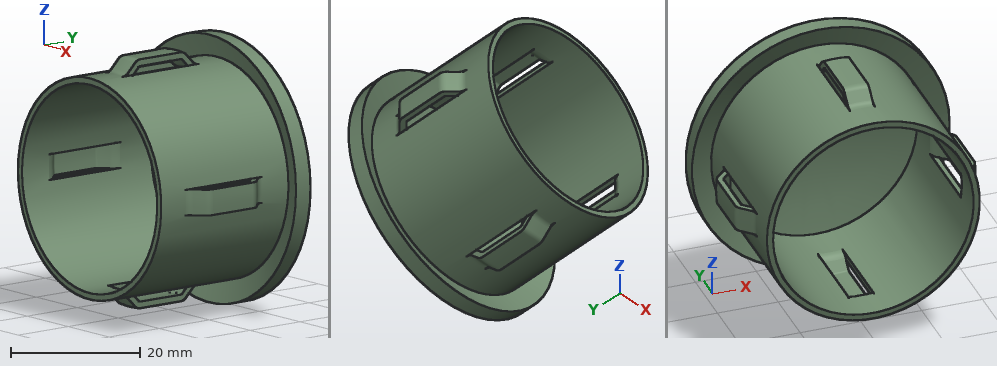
import cadquery as cq
import math


cap_radius = 21.2
rim_height = 2.93
dome_rise = 4.6

tube_radius = 17.5
bore_radius = 16.5
tube_length = 23.9
seam_turn = 45

clip_count = 4
clip_width = 4.05
clip_length = 15.2
clip_thickness = 1.05
clip_center_y = -11.4
clip_crest_radius = 19.8
bend_radius = 1.55
clip_floor_radius = bore_radius / 2
hat_sweep = 60
ramp_angle = math.radians(45)


def sphere_radius(chord_radius, rise):
    return (chord_radius**2 + rise**2) / (2 * rise)


def dome_y(radius, base_y):
    """Height of the spherical surface standing on base_y, at a distance from the axis."""
    sphere = sphere_radius(cap_radius, dome_rise)
    return base_y + dome_rise - sphere + math.sqrt(sphere**2 - radius**2)


def make_cap():
    """Shell between two equal spherical surfaces, one rim height apart."""
    mid_radius = cap_radius / 2
    return (
        cq.Workplane("XY")
        .moveTo(cap_radius, 0)
        .lineTo(cap_radius, rim_height)
        .threePointArc((mid_radius, dome_y(mid_radius, rim_height)), (0, rim_height + dome_rise))
        .lineTo(0, dome_rise)
        .threePointArc((mid_radius, dome_y(mid_radius, 0)), (cap_radius, 0))
        .close()
        .revolve(360, (0, 0, 0), (0, 1, 0))
    )


def make_cylinder(radius):
    """Solid from the open end of the tube up into the thickness of the cap."""
    top_y = dome_y(bore_radius, 0) + rim_height / 2
    cylinder = cq.Workplane("XZ", origin=(0, top_y, 0)).circle(radius).extrude(top_y + tube_length)
    return cylinder.rotate((0, 0, 0), (0, 1, 0), seam_turn)


def make_slot():
    """Block that opens the tube wall for a clip, on the +X side."""
    return (
        cq.Workplane("XY")
        .box(cap_radius - clip_floor_radius, clip_length, clip_width, centered=(False, True, True))
        .translate((clip_floor_radius, clip_center_y, 0))
    )


def make_hat(depth):
    """Block from inside the bore out to the clip surface that lies depth below its outer face.

    The profile is revolved about the tube axis, so each clip surface is round like the tube wall,
    and then cut to the clip width on the +X side.
    """
    half_length = clip_length / 2
    bend_length = bend_radius * math.sin(ramp_angle)
    bend_rise = bend_radius * (1 - math.cos(ramp_angle))
    ramp_rise = clip_crest_radius - tube_radius - 2 * bend_rise
    ramp_length = ramp_rise / math.tan(ramp_angle)
    crest_half_length = half_length - 2 * bend_length - ramp_length

    def foot_point(angle, side):
        radius = bend_radius + depth
        x = tube_radius + bend_radius - radius * math.cos(angle)
        return (x, side * (half_length - radius * math.sin(angle)))

    def crest_point(angle, side):
        radius = bend_radius - depth
        x = clip_crest_radius - bend_radius + radius * math.cos(angle)
        return (x, side * (crest_half_length + radius * math.sin(angle)))

    half_angle = ramp_angle / 2
    ring = (
        cq.Workplane("XY", origin=(0, clip_center_y, 0))
        .moveTo(clip_floor_radius, half_length)
        .lineTo(*foot_point(0, 1))
        .threePointArc(foot_point(half_angle, 1), foot_point(ramp_angle, 1))
        .lineTo(*crest_point(ramp_angle, 1))
        .threePointArc(crest_point(half_angle, 1), crest_point(0, 1))
        .lineTo(*crest_point(0, -1))
        .threePointArc(crest_point(half_angle, -1), crest_point(ramp_angle, -1))
        .lineTo(*foot_point(ramp_angle, -1))
        .threePointArc(foot_point(half_angle, -1), foot_point(0, -1))
        .lineTo(clip_floor_radius, -half_length)
        .close()
        .revolve(hat_sweep, (0, 0, 0), (0, 1, 0))
        .rotate((0, 0, 0), (0, 1, 0), -hat_sweep / 2)
    )
    return ring.intersect(make_slot())


def around_tube(block):
    """Copies of a block at every clip position."""
    turns = [index * 360 / clip_count for index in range(clip_count)]
    return [block.rotate((0, 0, 0), (0, 1, 0), turn) for turn in turns]


def make_tube_with_clips():
    """The wall is replaced by the clip's outer shape, then bored and hollowed under the clips."""
    tube = make_cylinder(tube_radius)
    for slot in around_tube(make_slot()):
        tube = tube.cut(slot)
    for hat in around_tube(make_hat(0)):
        tube = tube.union(hat)
    tube = tube.cut(make_cylinder(bore_radius))
    for window in around_tube(make_hat(clip_thickness)):
        tube = tube.cut(window)
    return tube


result = make_cap().union(make_tube_with_clips())